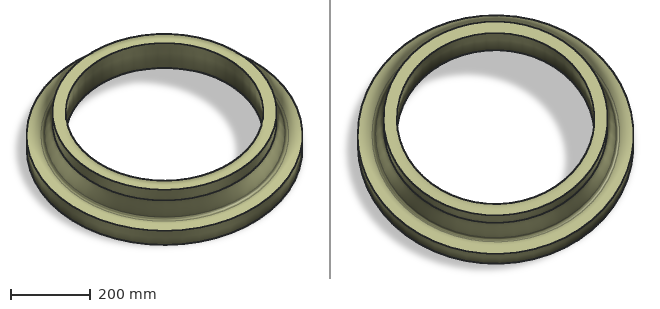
import cadquery as cq

flange_radius = 345.0
flange_height = 50.0
total_height = 130.0
bore_radius = 247.0

seat_depth = 43.5
seat_radius = bore_radius + seat_depth

neck_radius = 280.0
neck_height = 37.0
neck_start = total_height - neck_height
hub_base_radius = 303.5
hub_fillet = 10.5

profile = (
    cq.Workplane("XZ")
    .moveTo(seat_radius, 0)
    .lineTo(flange_radius, 0)
    .lineTo(flange_radius, flange_height)
    .lineTo(hub_base_radius, flange_height)
    .lineTo(neck_radius, neck_start)
    .lineTo(neck_radius, total_height)
    .lineTo(bore_radius, total_height)
    .lineTo(bore_radius, seat_depth)
    .close()
)
body = profile.revolve(360, (0, 0, 0), (0, 1, 0))

hub_foot = cq.selectors.RadiusNthSelector(-2)
result = body.edges(hub_foot).fillet(hub_fillet)